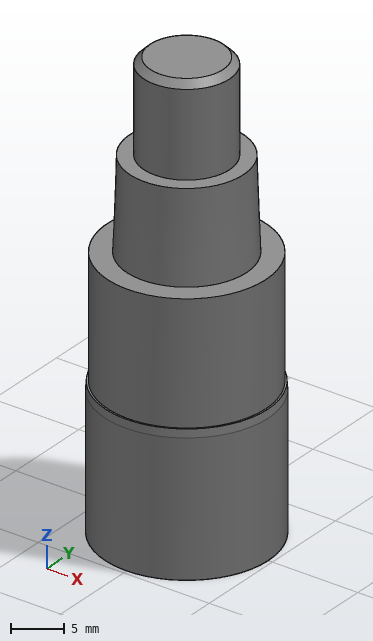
import cadquery as cq

total_height = 51.0
lip_start_height = 15.3
ledge_height = 16.2
housing_height = 30.1
shoulder_height = 40.5

base_diameter = 19.05
lip_top_diameter = 18.9
body_diameter = 18.5
taper_bottom_diameter = 13.95
taper_top_diameter = 13.25
tip_diameter = 10.0

tip_chamfer = 0.75


def revolve_profile(points):
    """Turn a closed (radius, height) profile about the Z axis."""
    return (
        cq.Workplane("XZ")
        .polyline(points)
        .close()
        .revolve(360, (0, 0, 0), (0, 1, 0))
    )


def make_housing():
    """Round housing with a wider base whose top lip tapers in to a narrow ledge."""
    return revolve_profile([
        (0, 0),
        (base_diameter / 2, 0),
        (base_diameter / 2, lip_start_height),
        (lip_top_diameter / 2, ledge_height),
        (body_diameter / 2, ledge_height),
        (body_diameter / 2, housing_height),
        (0, housing_height),
    ])


def make_plunger():
    """Plunger seated on the housing: a tapered collar below a chamfered tip."""
    return revolve_profile([
        (0, housing_height),
        (taper_bottom_diameter / 2, housing_height),
        (taper_top_diameter / 2, shoulder_height),
        (tip_diameter / 2, shoulder_height),
        (tip_diameter / 2, total_height - tip_chamfer),
        (tip_diameter / 2 - tip_chamfer, total_height),
        (0, total_height),
    ])


housing = make_housing()
plunger = make_plunger()

result = cq.Compound.makeCompound([housing.val(), plunger.val()])